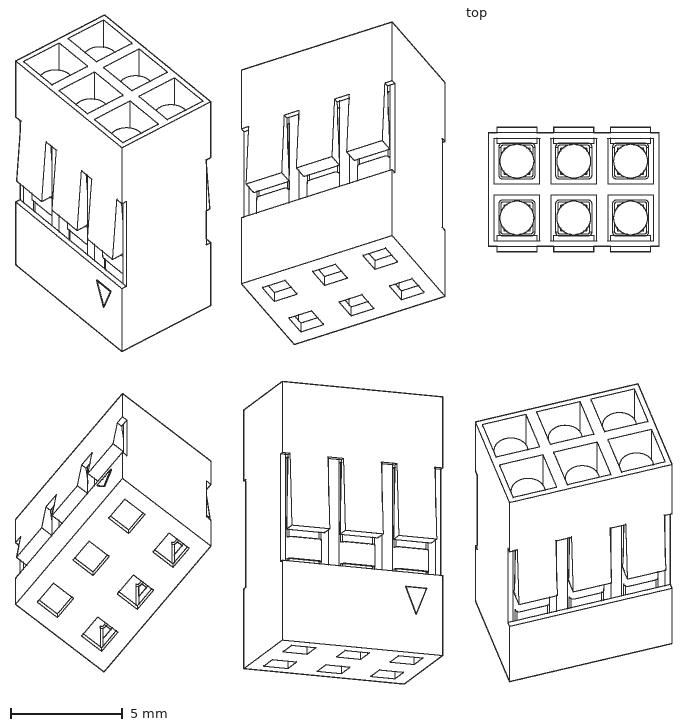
import cadquery as cq

columns = 3
rows = 2
length = 7.62
height = 12.0
pitch = length / columns
depth = rows * pitch
front_y = -depth / 2

cavity_side = 2.04
wall = (pitch - cavity_side) / 2
cavity_floor_z = 2 * wall
pin_entry_side = 1.15

band_bottom_z = 3.71
band_top_z = 8.7

overall_depth = 5.57
latch_width = 1.8
latch_bottom_z = 5.3
latch_outer_flare = (overall_depth - depth) / 2
latch_inner_flare = 0.23

mark_width = 1.0
mark_height = 1.25
mark_top_z = 3.04
mark_relief = 0.05

tube_side = 1.62
tube_wall = 0.1
tube_corner_radius = 0.19
tube_top_z = band_top_z
barrel_diameter = 1.51
barrel_top_z = 11.0
barrel_insertion = 0.48

bridge_bottom_z = 3.98
bridge_top_z = 4.99

column_xs = [(column - (columns - 1) / 2) * pitch for column in range(columns)]
front_row_y = front_y + pitch / 2


def square_prism(side, bottom_z, top_z):
    """Square prism centred on the Z axis."""
    return cq.Workplane("XY").workplane(offset=bottom_z).rect(side, side).extrude(top_z - bottom_z)


def place(front_part, x, is_front):
    """Move a part made for X = 0 in the front row to its column, turned half round for the back row."""
    turn = 0 if is_front else 180
    return front_part.rotate((0, 0, 0), (0, 0, 1), turn).translate((x, 0, 0))


def make_side_band():
    """Cutter for the band in the front side."""
    band_height = band_top_z - band_bottom_z
    return cq.Workplane("XY").box(length, wall, band_height, centered=(True, False, False)).translate(
        (0, front_y, band_bottom_z)
    )


def make_cavity():
    """Cutter for one front cavity and the pin entry below it."""
    cavity = square_prism(cavity_side, cavity_floor_z, height)
    pin_entry = square_prism(pin_entry_side, 0, cavity_floor_z)
    return cavity.union(pin_entry).translate((0, front_row_y, 0))


def make_latch():
    """One front latch, as thick as the wall where it hangs from the upper edge of the band."""
    profile = [
        (front_y, band_top_z),
        (front_y - latch_outer_flare, latch_bottom_z),
        (front_y + wall + latch_inner_flare, latch_bottom_z),
        (front_y + wall, band_top_z),
    ]
    return cq.Workplane("YZ").polyline(profile).close().extrude(latch_width / 2, both=True)


def make_mark():
    """Triangle on the front side, pointing down below the last column."""
    x = column_xs[-1]
    corners = [
        (x - mark_width / 2, mark_top_z),
        (x + mark_width / 2, mark_top_z),
        (x, mark_top_z - mark_height),
    ]
    return cq.Workplane("XZ", origin=(0, front_y, 0)).polyline(corners).close().extrude(mark_relief)


def make_housing():
    body = cq.Workplane("XY").box(length, depth, height, centered=(True, True, False))
    for is_front in (True, False):
        body = body.cut(place(make_side_band(), 0, is_front))
        for x in column_xs:
            body = body.cut(place(make_cavity(), x, is_front))
    for is_front in (True, False):
        for x in column_xs:
            body = body.union(place(make_latch(), x, is_front))
    return body.union(make_mark())


def make_contact():
    """One front contact, open at the bottom and standing on the cavity floor."""
    outside = square_prism(tube_side, cavity_floor_z, tube_top_z).edges("|Z").fillet(tube_corner_radius)
    bore = square_prism(tube_side - 2 * tube_wall, cavity_floor_z, tube_top_z)
    tube = outside.cut(bore.edges("|Z").fillet(tube_corner_radius - tube_wall))

    for bottom_z, top_z in ((cavity_floor_z, bridge_bottom_z), (bridge_top_z, tube_top_z)):
        opening = cq.Workplane("XY").box(
            tube_side, tube_corner_radius, top_z - bottom_z, centered=(True, False, False)
        )
        tube = tube.cut(opening.translate((0, -tube_side / 2, bottom_z)))

    barrel_bottom_z = tube_top_z - barrel_insertion
    barrel = (
        cq.Workplane("XY")
        .workplane(offset=barrel_bottom_z)
        .circle(barrel_diameter / 2)
        .extrude(barrel_top_z - barrel_bottom_z)
    )
    return tube.union(barrel).translate((0, front_row_y, 0))


housing = make_housing()
contacts = [place(make_contact(), x, is_front) for is_front in (True, False) for x in column_xs]

result = cq.Compound.makeCompound([body.solids().val() for body in (housing, *contacts)])